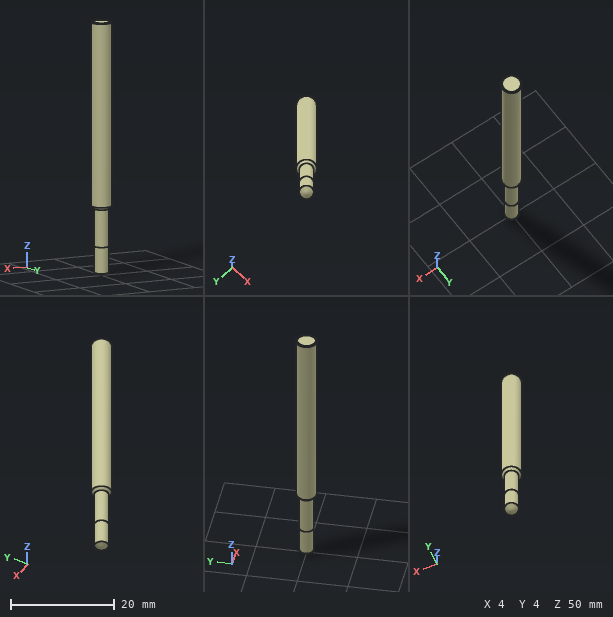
import cadquery as cq
import math

total_length = 50.0
shank_diameter = 4.0
cutter_diameter = 2.85
point_angle = 140.0
cutter_length = 5.7
shank_start = 13.65
shoulder_angle = 45.0
shank_chamfer = 0.2

shank_radius = shank_diameter / 2
cutter_radius = cutter_diameter / 2
point_height = cutter_radius / math.tan(math.radians(point_angle / 2))
shoulder_height = (shank_radius - cutter_radius) / math.tan(math.radians(shoulder_angle))
neck_top = shank_start - shoulder_height


def revolve_profile(points):
    """Turn a closed outline of (radius, height) points about the Z axis."""
    return cq.Workplane("XZ").polyline(points).close().revolve(360, (0, 0, 0), (0, 1, 0))


def make_cutter():
    """Cylindrical cutting end with a conical point."""
    return revolve_profile([
        (0, 0),
        (cutter_radius, point_height),
        (cutter_radius, cutter_length),
        (0, cutter_length),
    ])


def make_neck():
    """Straight neck that widens through a conical shoulder to the shank."""
    return revolve_profile([
        (0, cutter_length),
        (cutter_radius, cutter_length),
        (cutter_radius, neck_top),
        (shank_radius, shank_start),
        (0, shank_start),
    ])


def make_shank():
    """Plain round shank with a chamfered upper end."""
    shank = cq.Workplane("XY").workplane(offset=shank_start).circle(shank_radius)
    shank = shank.extrude(total_length - shank_start)
    return shank.faces(">Z").edges().chamfer(shank_chamfer)


cutter = make_cutter()
neck = make_neck()
shank = make_shank()

result = cq.Compound.makeCompound([cutter.val(), neck.val(), shank.val()])